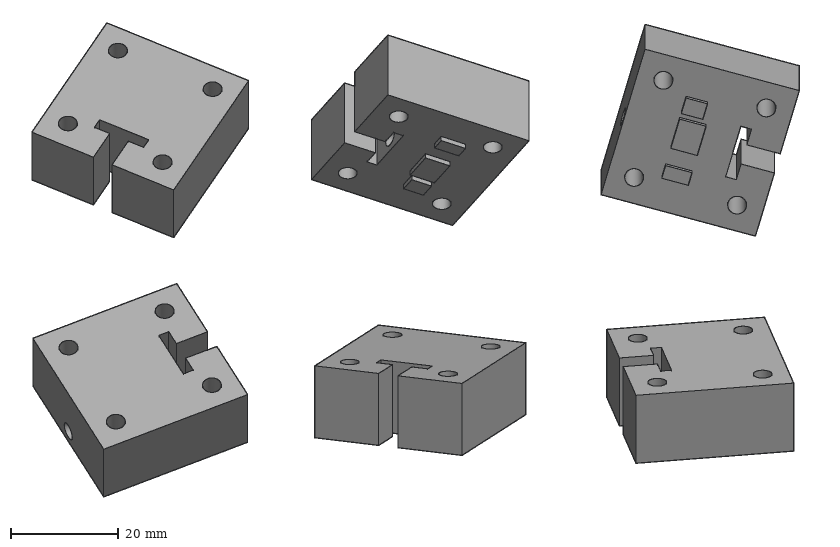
import cadquery as cq

side = 30.0
height = 15.0
pad_height = 1.0
body_height = height - pad_height

hole_diameter = 3.5
hole_pitch = 20.0

neck_width = 3.93
neck_depth = 6.5
head_width = 10.38
head_depth = 2.07

cross_hole_diameter = 3.4
cross_hole_height = 3.0

pad_back = 5.07
pad_front = -0.1
left_pad_front = 0.87
pads = [
    (-8.13, -4.92, left_pad_front, pad_back),
    (-3.78, 2.25, pad_front, pad_back),
    (5.8, 8.4, pad_front, pad_back),
]


def make_body():
    """Square block with its underside at Z = 0."""
    return cq.Workplane("XY").box(side, side, body_height, centered=(True, True, False))


def make_slot():
    """T-shaped volume running the full height of the block."""
    front = -side / 2
    depth = neck_depth + head_depth
    centered = (True, False, False)
    neck = cq.Workplane("XY").box(neck_width, depth, body_height, centered=centered)
    head = cq.Workplane("XY").box(head_width, head_depth, body_height, centered=centered)
    return neck.union(head.translate((0, neck_depth, 0))).translate((0, front, 0))


def make_corner_holes():
    """Four vertical through holes."""
    return (
        cq.Workplane("XY")
        .rect(hole_pitch, hole_pitch, forConstruction=True)
        .vertices()
        .circle(hole_diameter / 2)
        .extrude(body_height)
    )


def make_cross_hole():
    """Horizontal through hole from the slot to the +Y face."""
    return (
        cq.Workplane("XZ")
        .center(0, cross_hole_height)
        .circle(cross_hole_diameter / 2)
        .extrude(side / 2, both=True)
    )


def make_pad(x_min, x_max, y_min, y_max):
    """Rectangular pad hanging below the underside."""
    return (
        cq.Workplane("XY")
        .center((x_min + x_max) / 2, (y_min + y_max) / 2)
        .rect(x_max - x_min, y_max - y_min)
        .extrude(-pad_height)
    )


result = make_body().cut(make_slot()).cut(make_corner_holes()).cut(make_cross_hole())
for pad in pads:
    result = result.union(make_pad(*pad))

result = result.translate((0, 0, pad_height - height / 2))